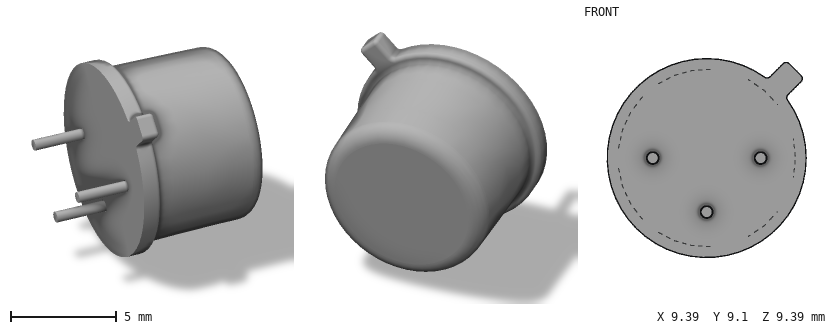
import cadquery as cq
import math


FLANGE_DIAMETER = 9.39
FLANGE_THICKNESS = 0.88
EDGE_RADIUS = 0.2

TAB_ANGLE = 45.0
TAB_REACH = 5.9
TAB_WIDTH = 1.2

CAN_HEIGHT = 6.6
CAP_BASE_DIAMETER = 8.51
CAP_TOP_DIAMETER = 8.3
CAP_TOP_RADIUS = 0.75

LEAD_DIAMETER = 0.53
LEAD_LENGTH = 2.5
LEAD_OFFSET = 2.54
LEAD_ANGLES = (0.0, 180.0, 270.0)
CLEARANCE_DIAMETER = 0.59
CLEARANCE_DEPTH = FLANGE_THICKNESS - EDGE_RADIUS


def axial_cylinder(diameter, start, end, x=0.0, z=0.0):
    """Cylinder parallel to Y, running from Y = start to Y = end."""
    plane = cq.Workplane("XZ", origin=(x, start, z))
    return plane.circle(diameter / 2).extrude(start - end)


def make_flange():
    """Round flange with the index tab, rounded at the tab corners and roots."""
    disc = axial_cylinder(FLANGE_DIAMETER, 0, FLANGE_THICKNESS)
    tab = (
        cq.Workplane("XY")
        .box(TAB_REACH, FLANGE_THICKNESS, TAB_WIDTH, centered=(False, False, True))
        .rotate((0, 0, 0), (0, 1, 0), -TAB_ANGLE)
    )
    tab_quadrant = cq.selectors.BoxSelector(
        (0, 0, 0), (FLANGE_DIAMETER, FLANGE_THICKNESS, FLANGE_DIAMETER)
    )
    return disc.union(tab).edges("|Y").edges(tab_quadrant).fillet(EDGE_RADIUS)


def make_cap():
    """Tapered cap with a rounded top edge, standing on the flange."""
    base_radius = CAP_BASE_DIAMETER / 2
    top_radius = CAP_TOP_DIAMETER / 2
    cone = (
        cq.Workplane("XY")
        .moveTo(0, FLANGE_THICKNESS)
        .lineTo(base_radius, FLANGE_THICKNESS)
        .lineTo(top_radius, CAN_HEIGHT)
        .lineTo(0, CAN_HEIGHT)
        .close()
        .revolve(360, (0, 0, 0), (0, 1, 0))
    )
    return cone.faces(">Y").edges().fillet(CAP_TOP_RADIUS)


def make_can():
    """Flange and cap in one body, with the rim rounded and the cap foot blended in."""
    flange = make_flange().faces(">Y").edges().fillet(EDGE_RADIUS)
    can = flange.union(make_cap())
    foot_middle = (0, FLANGE_THICKNESS, 0)
    foot_edge = can.edges("%CIRCLE").edges(cq.selectors.NearestToPointSelector(foot_middle))
    return foot_edge.fillet(EDGE_RADIUS)


def add_leads(body):
    """Sink a clearance around every lead and stand the lead on its floor."""
    for lead_angle in LEAD_ANGLES:
        x = LEAD_OFFSET * math.cos(math.radians(lead_angle))
        z = LEAD_OFFSET * math.sin(math.radians(lead_angle))
        body = body.cut(axial_cylinder(CLEARANCE_DIAMETER, 0, CLEARANCE_DEPTH, x, z))
        body = body.union(axial_cylinder(LEAD_DIAMETER, -LEAD_LENGTH, CLEARANCE_DEPTH, x, z))
    return body


result = add_leads(make_can())